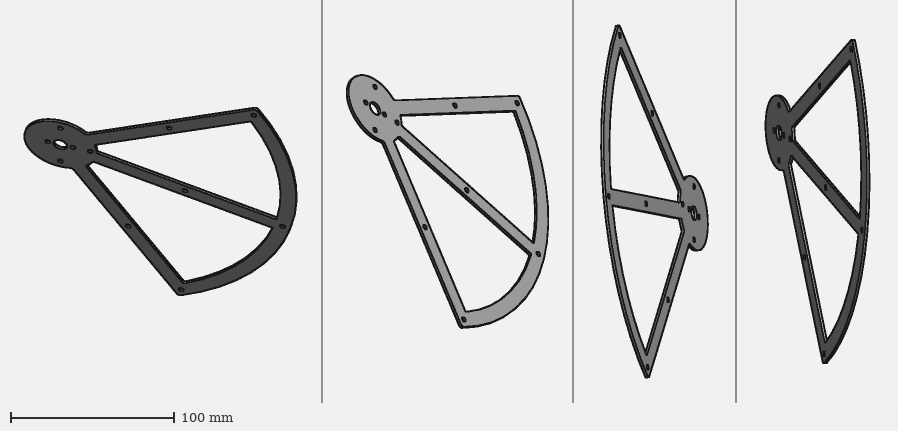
import cadquery as cq
import math

THICKNESS = 1.75

HUB_RADIUS = 23.0
SHAFT_HOLE_DIAMETER = 8.8
HUB_HOLE_X = (-8.0, 8.0, 19.0)
HUB_HOLE_Z = (-17.2, 17.2)

RIM_OUTER_RADIUS = 150.0
RIM_INNER_RADIUS = 140.0

SPOKE_WIDTH = 10.0
SPOKE_SPACING = 45.0
MIDDLE_SPOKE_ANGLE = -13.0
SPOKE_ANGLES = [MIDDLE_SPOKE_ANGLE + step * SPOKE_SPACING for step in (-1, 0, 1)]
SPOKE_HOLE_RADII = (81.5, (RIM_INNER_RADIUS + RIM_OUTER_RADIUS) / 2)

SCREW_HOLE_DIAMETER = 3.1
OUTER_CORNER_RADIUS = 2.0
WINDOW_CORNER_RADIUS = 1.0


def polar(radius, angle):
    """Point in the plate at a radius and an angle in degrees from +X."""
    return (radius * math.cos(math.radians(angle)), radius * math.sin(math.radians(angle)))


def edge_angle(radius):
    """Angle between a spoke's centre line and its edge, at the given radius."""
    return math.degrees(math.asin(SPOKE_WIDTH / 2 / radius))


def ring_sector(inner_radius, outer_radius, start, end, side):
    """Plate area between two radii, from the spoke at angle start to the one at end.

    side = 1 reaches to the far edges of both spokes, side = -1 stops at their near edges.
    """
    inner_start = start - side * edge_angle(inner_radius)
    inner_end = end + side * edge_angle(inner_radius)
    outer_start = start - side * edge_angle(outer_radius)
    outer_end = end + side * edge_angle(outer_radius)
    middle = (start + end) / 2
    return (
        cq.Workplane("XZ")
        .moveTo(*polar(inner_radius, inner_start))
        .lineTo(*polar(outer_radius, outer_start))
        .threePointArc(polar(outer_radius, middle), polar(outer_radius, outer_end))
        .lineTo(*polar(inner_radius, inner_end))
        .threePointArc(polar(inner_radius, middle), polar(inner_radius, inner_start))
        .close()
        .extrude(THICKNESS / 2, both=True)
    )


def blank():
    """Hub and fan-shaped sector in one piece, rounded at the rim corners and where spokes meet the hub."""
    hub = cq.Workplane("XZ").circle(HUB_RADIUS).extrude(THICKNESS / 2, both=True)
    fan = ring_sector(HUB_RADIUS, RIM_OUTER_RADIUS, SPOKE_ANGLES[0], SPOKE_ANGLES[-1], 1)
    corners = cq.selectors.BoxSelector(
        (0, -THICKNESS, -RIM_OUTER_RADIUS), (RIM_OUTER_RADIUS, THICKNESS, RIM_OUTER_RADIUS)
    )
    return hub.union(fan).clean().edges("|Y").edges(corners).fillet(OUTER_CORNER_RADIUS)


def window(start, end):
    """Opening between two neighbouring spokes, bounded by the hub and the rim."""
    opening = ring_sector(HUB_RADIUS, RIM_INNER_RADIUS, start, end, -1)
    return opening.edges("|Y").fillet(WINDOW_CORNER_RADIUS)


def holes(centres, diameter):
    """Round cutters through the plate."""
    return cq.Workplane("XZ").pushPoints(centres).circle(diameter / 2).extrude(THICKNESS, both=True)


hub_holes = [(x, 0) for x in HUB_HOLE_X] + [(0, z) for z in HUB_HOLE_Z]
spoke_holes = [polar(radius, angle) for angle in SPOKE_ANGLES for radius in SPOKE_HOLE_RADII]

result = blank()
for lower_spoke, upper_spoke in zip(SPOKE_ANGLES, SPOKE_ANGLES[1:]):
    result = result.cut(window(lower_spoke, upper_spoke))
result = result.cut(holes([(0, 0)], SHAFT_HOLE_DIAMETER))
result = result.cut(holes(hub_holes + spoke_holes, SCREW_HOLE_DIAMETER))